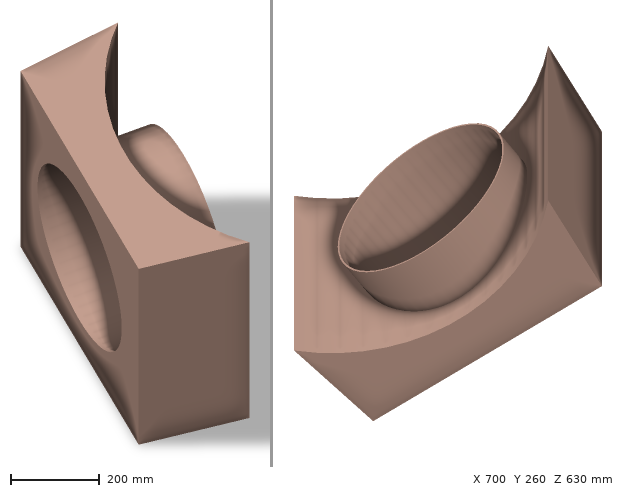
import cadquery as cq

front_width = 630.0
back_width = 700.0
block_height = 630.0
block_depth = 258.0
saddle_depth = 145.5

tube_outer_diameter = 458.0
tube_wall = 4.0
tube_length = 260.0


def make_block():
    """Flared block with a concave back and a bore along Y for the tube."""
    block = (
        cq.Workplane("XY")
        .moveTo(-front_width / 2, 0)
        .lineTo(front_width / 2, 0)
        .lineTo(back_width / 2, block_depth)
        .threePointArc((0, block_depth - saddle_depth), (-back_width / 2, block_depth))
        .close()
        .extrude(block_height / 2, both=True)
    )
    bore = cq.Workplane("XZ").circle(tube_outer_diameter / 2).extrude(-tube_length)
    return block.cut(bore)


def make_tube():
    """Thin round tube along Y, flush with the block's flat front face."""
    outer_radius = tube_outer_diameter / 2
    return (
        cq.Workplane("XZ")
        .circle(outer_radius)
        .circle(outer_radius - tube_wall)
        .extrude(-tube_length)
    )


block = make_block()
tube = make_tube()

result = cq.Compound.makeCompound([block.val(), tube.val()])